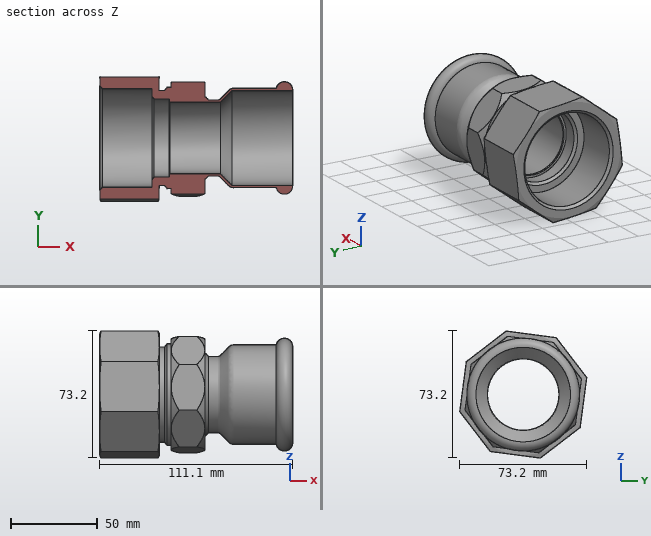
import cadquery as cq
import math

LENGTH = 111.1

NUT_SIDES = 8
NUT_TURN = 15.0
NUT_CHAMFER_INSET = 0.1
LARGE_FLATS = 70.0
LARGE_END = 34.3
LARGE_CHAMFER_ANGLE = 15.0
SMALL_FLATS = 64.1
SMALL_START = 41.0
SMALL_END = 60.7
SMALL_CHAMFER_ANGLE = 60.0

COLLAR_RADIUS = 55.0 / 2
COLLAR_END = 37.3
SHOULDER_RADIUS = 58.7 / 2
SHOULDER_START = 38.8

NECK_RADIUS = 44.0 / 2
NECK_START = 62.7
NECK_END = 68.8
SOCKET_RADIUS = 57.5 / 2
NECK_BLEND = 1.6
SOCKET_BLEND = 3.8
BEAD_RADIUS = 65.0 / 2
BEAD_WIDTH = 9.7
CONE_ANGLE = 45.0
SOCKET_START = NECK_END + (SOCKET_RADIUS - NECK_RADIUS) / math.tan(math.radians(CONE_ANGLE))
NECK_FLARE = NECK_START - SMALL_END

THREAD_RADIUS = 56.7 / 2
THREAD_MOUTH_RADIUS = 59.9 / 2
THREAD_DEPTH = 30.0
SEAT_MOUTH_RADIUS = 48.0 / 2
SEAT_RADIUS = 44.8 / 2
SEAT_CHAMFER_LENGTH = 1.3
SEAT_DEPTH = 40.0
BORE_MOUTH_RADIUS = 42.0 / 2
BORE_RADIUS = 41.0 / 2
WALL = NECK_RADIUS - BORE_RADIUS

CORNER_MARGIN = 0.1


def revolve_about_x(profile):
    """Turn an (x, radius) profile about the X axis."""
    return profile.close().revolve(360, (0, 0, 0), (1, 0, 0))


def octagon_nut(start, end, flats, chamfer_angle):
    """Octagonal prism along X whose corners are cut by a cone at both ends."""
    quarter_turn = 90
    corner_radius = flats / 2 / math.cos(math.pi / NUT_SIDES)
    end_radius = flats / 2 - NUT_CHAMFER_INSET
    chamfer_length = (corner_radius - end_radius) * math.tan(math.radians(chamfer_angle))
    prism = (
        cq.Workplane("YZ", origin=(start, 0, 0))
        .polygon(NUT_SIDES, 2 * corner_radius)
        .extrude(end - start)
        .rotate((0, 0, 0), (1, 0, 0), quarter_turn + NUT_TURN)
    )
    envelope = revolve_about_x(
        cq.Workplane("XY")
        .moveTo(start, 0)
        .lineTo(start, end_radius)
        .lineTo(start + chamfer_length, corner_radius)
        .lineTo(end - chamfer_length, corner_radius)
        .lineTo(end, end_radius)
        .lineTo(end, 0)
    )
    return prism.intersect(envelope)


def bead():
    """Rounded bead around the open end of the socket."""
    start = LENGTH - BEAD_WIDTH
    middle = LENGTH - BEAD_WIDTH / 2
    side_radius = BEAD_RADIUS - BEAD_WIDTH / 2
    return revolve_about_x(
        cq.Workplane("XY")
        .moveTo(start, 0)
        .lineTo(start, side_radius)
        .threePointArc((middle, BEAD_RADIUS), (LENGTH, side_radius))
        .lineTo(LENGTH, 0)
    )


def corner_circle(x, radius):
    """Selection box around the circular edge at a given x and radius."""
    reach = radius + CORNER_MARGIN
    low = (x - CORNER_MARGIN, -reach, -reach)
    high = (x + CORNER_MARGIN, reach, reach)
    return cq.selectors.BoxSelector(low, high)


def turned_body():
    """Collar, shoulder, neck and socket, with the cone between neck and socket rounded."""
    body = revolve_about_x(
        cq.Workplane("XY")
        .moveTo(0, 0)
        .lineTo(0, COLLAR_RADIUS)
        .lineTo(COLLAR_END, COLLAR_RADIUS)
        .lineTo(SHOULDER_START, SHOULDER_RADIUS)
        .lineTo(SMALL_START, SHOULDER_RADIUS)
        .lineTo(SMALL_END, NECK_RADIUS + NECK_FLARE)
        .lineTo(NECK_START, NECK_RADIUS)
        .lineTo(NECK_END, NECK_RADIUS)
        .lineTo(SOCKET_START, SOCKET_RADIUS)
        .lineTo(LENGTH - BEAD_WIDTH / 2, SOCKET_RADIUS)
        .lineTo(LENGTH - BEAD_WIDTH / 2, 0)
    )
    body = body.edges(corner_circle(NECK_END, NECK_RADIUS)).fillet(NECK_BLEND)
    return body.edges(corner_circle(SOCKET_START, SOCKET_RADIUS)).fillet(SOCKET_BLEND)


def inner_passage():
    """Threaded mouth, chamfered seat, through bore and press socket."""
    socket_bore_radius = SOCKET_RADIUS - WALL
    cone_shift = WALL * math.tan(math.radians(CONE_ANGLE / 2))
    return revolve_about_x(
        cq.Workplane("XY")
        .moveTo(0, 0)
        .lineTo(0, THREAD_MOUTH_RADIUS)
        .lineTo(THREAD_MOUTH_RADIUS - THREAD_RADIUS, THREAD_RADIUS)
        .lineTo(THREAD_DEPTH, THREAD_RADIUS)
        .lineTo(THREAD_DEPTH, SEAT_MOUTH_RADIUS)
        .lineTo(THREAD_DEPTH + SEAT_CHAMFER_LENGTH, SEAT_RADIUS)
        .lineTo(SEAT_DEPTH, SEAT_RADIUS)
        .lineTo(SEAT_DEPTH, BORE_MOUTH_RADIUS)
        .lineTo(SEAT_DEPTH + BORE_MOUTH_RADIUS - BORE_RADIUS, BORE_RADIUS)
        .lineTo(NECK_END + cone_shift, BORE_RADIUS)
        .lineTo(SOCKET_START + cone_shift, socket_bore_radius)
        .lineTo(LENGTH, socket_bore_radius)
        .lineTo(LENGTH, 0)
    )


large_nut = octagon_nut(0, LARGE_END, LARGE_FLATS, LARGE_CHAMFER_ANGLE)
small_nut = octagon_nut(SMALL_START, SMALL_END, SMALL_FLATS, SMALL_CHAMFER_ANGLE)
outside = turned_body().union(large_nut).union(small_nut).union(bead())
result = outside.cut(inner_passage())